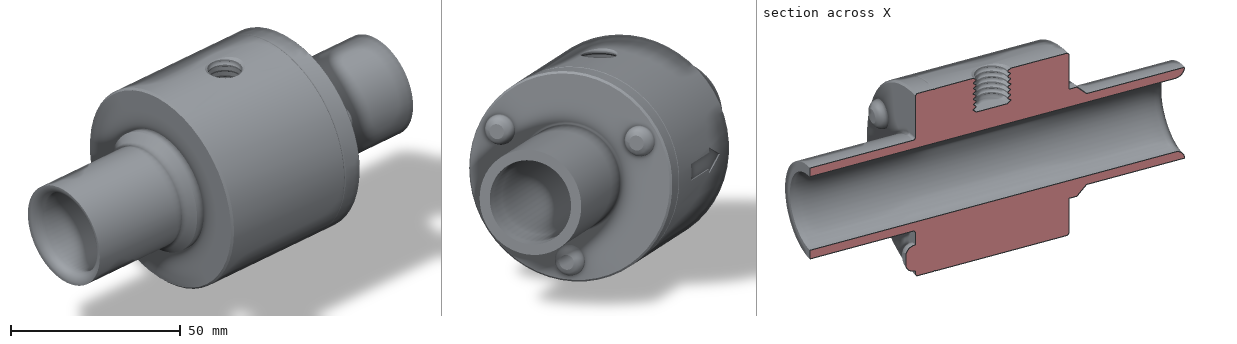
import cadquery as cq
import math


overall_length = 123.8
body_diameter = 63.5
tube_diameter = 31.75
bore_diameter = 25.4
collar_diameter = 38.1

discharge_tube_length = 34.8
cap_thickness = 6.35
body_length = 44.45
collar_straight_length = 2.6
edge_chamfer = 0.6
joint_groove_depth = 0.3
tube_fillet = 0.75

screw_count = 3
screw_circle_radius = 25.2
first_screw_angle = 30
screw_head_diameter = 9.2
screw_head_height = 3.1
screw_flat_diameter = 4.5

port_y = 1.75
port_minor_diameter = 10.4
port_major_diameter = 12.3
port_pitch = 1.85
port_turns = 6
port_land_width = 0.5
port_depth = 12.0

arrow_tail_y = 9.9
arrow_shoulder_y = -6.1
arrow_tip_y = -15.1
arrow_shaft_width = 5.0
arrow_head_width = 8.0
arrow_depth = 0.5

body_radius = body_diameter / 2
tube_radius = tube_diameter / 2
bore_radius = bore_diameter / 2
collar_radius = collar_diameter / 2
wall_thickness = tube_radius - bore_radius

discharge_end = overall_length / 2
intake_end = -overall_length / 2
cap_face = discharge_end - discharge_tube_length
body_joint = cap_face - cap_thickness
body_face = body_joint - body_length
collar_edge = body_face - collar_straight_length
collar_foot = collar_edge - (collar_radius - tube_radius)


def revolve_about_y(profile):
    """Revolve a closed XY profile a full turn about the flow axis."""
    return profile.revolve(360, (0, 0, 0), (0, 1, 0))


def make_housing():
    """Tubes, collar, body and cap plate, with the bore and its rounded intake mouth."""
    mid_arc = 1 - math.sqrt(0.5)
    mouth_offset = wall_thickness * mid_arc
    fillet_offset = tube_fillet * mid_arc
    profile = (
        cq.Workplane("XY")
        .moveTo(tube_radius, intake_end)
        .lineTo(tube_radius, collar_foot)
        .lineTo(collar_radius, collar_edge)
        .lineTo(collar_radius, body_face)
        .lineTo(body_radius - edge_chamfer, body_face)
        .lineTo(body_radius, body_face + edge_chamfer)
        .lineTo(body_radius, body_joint - joint_groove_depth)
        .lineTo(body_radius - joint_groove_depth, body_joint)
        .lineTo(body_radius, body_joint + joint_groove_depth)
        .lineTo(body_radius, cap_face - edge_chamfer)
        .lineTo(body_radius - edge_chamfer, cap_face)
        .lineTo(tube_radius + tube_fillet, cap_face)
        .threePointArc(
            (tube_radius + fillet_offset, cap_face + fillet_offset),
            (tube_radius, cap_face + tube_fillet),
        )
        .lineTo(tube_radius, discharge_end)
        .lineTo(bore_radius, discharge_end)
        .lineTo(bore_radius, intake_end + wall_thickness)
        .threePointArc(
            (bore_radius + mouth_offset, intake_end + mouth_offset),
            (tube_radius, intake_end),
        )
        .close()
    )
    return revolve_about_y(profile)


def make_screw_head(angle):
    """Domed screw head on the cap plate, at an angle in degrees from +X toward +Z.

    The dome is an arc that rises square to the plate and ends at the flat top.
    """
    head_radius = screw_head_diameter / 2
    flat_radius = screw_flat_diameter / 2
    dome_width = head_radius - flat_radius
    dome_radius = (dome_width**2 + screw_head_height**2) / (2 * dome_width)
    profile = (
        cq.Workplane("XY")
        .lineTo(head_radius, 0)
        .radiusArc((flat_radius, screw_head_height), -dome_radius)
        .lineTo(0, screw_head_height)
        .close()
    )
    x = screw_circle_radius * math.cos(math.radians(angle))
    z = screw_circle_radius * math.sin(math.radians(angle))
    return revolve_about_y(profile).translate((x, cap_face, z))


def make_port():
    """Cutter for the tapped port along Z: a blind hole with one ring groove per thread turn.

    The outermost groove opens at its full diameter in the body surface.
    """
    minor_radius = port_minor_diameter / 2
    major_radius = port_major_diameter / 2
    port_floor = body_radius - port_depth
    half_land = port_land_width / 2

    points = [(0, body_radius), (major_radius, body_radius)]
    for turn in range(port_turns):
        groove_top = body_radius - turn * port_pitch
        land_middle = groove_top - port_pitch / 2
        points.append((minor_radius, land_middle + half_land))
        points.append((minor_radius, land_middle - half_land))
        points.append((major_radius, groove_top - port_pitch))
    points.append((minor_radius, port_floor))
    points.append((0, port_floor))

    cutter = cq.Workplane("XZ").polyline(points).close()
    return cutter.revolve(360, (0, 0, 0), (0, 1, 0)).translate((0, port_y, 0))


def make_flow_arrow():
    """Cutter for the flat-bottomed flow arrow sunk into the -X side, pointing to -Y."""
    shaft_half = arrow_shaft_width / 2
    head_half = arrow_head_width / 2
    return (
        cq.Workplane("YZ", origin=(-body_radius, 0, 0))
        .moveTo(arrow_tail_y, -shaft_half)
        .lineTo(arrow_tail_y, shaft_half)
        .lineTo(arrow_shoulder_y, shaft_half)
        .lineTo(arrow_shoulder_y, head_half)
        .lineTo(arrow_tip_y, 0)
        .lineTo(arrow_shoulder_y, -head_half)
        .lineTo(arrow_shoulder_y, -shaft_half)
        .close()
        .extrude(arrow_depth)
    )


result = make_housing()
for screw in range(screw_count):
    result = result.union(make_screw_head(first_screw_angle + screw * 360 / screw_count))
result = result.cut(make_port())
result = result.cut(make_flow_arrow())